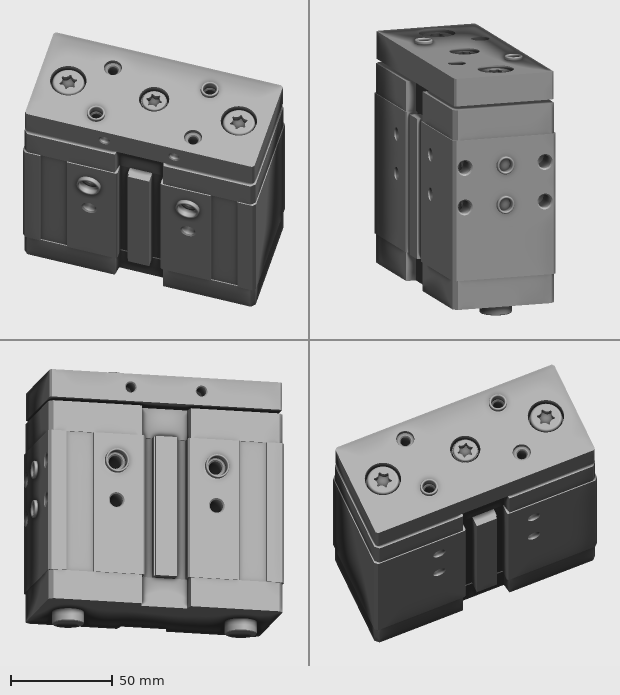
import cadquery as cq
import math

profile_width = 120.0
profile_depth = 54.0
end_step = 0.5
profile_corner_chamfer = 1.5
cap_corner_chamfer = 2.0
yoke_corner_chamfer = 1.0

rod_overhang = 6.1
lower_cap_height = 14.7
profile_height = 71.0
upper_cap_height = 15.2
yoke_gap = 2.0
yoke_height = 14.0

lower_cap_z = rod_overhang
profile_z = lower_cap_z + lower_cap_height
upper_cap_z = profile_z + profile_height
yoke_z = upper_cap_z + upper_cap_height + yoke_gap
yoke_top = yoke_z + yoke_height

cap_width = profile_width - 2 * end_step
cap_depth = profile_depth - 2 * end_step
yoke_width = cap_width - 2 * end_step
yoke_depth = cap_depth - 2 * end_step
front_y = -profile_depth / 2
left_x = -profile_width / 2

profile_groove_half_width = 11.7
profile_groove_chamfer = 0.6
cap_groove_half_width = 12.5
cap_groove_lean = 0.9
profile_groove_depth = 6.0
cap_groove_depth = 5.0
ridge_left = -5.5
ridge_right = 5.4
ridge_step_width = 0.6
ridge_step_depth = 1.5

slot_width = 14.1
slot_depth = 1.0
slot_lean = 0.4

rod_spacing = 87.9
rod_y = -0.7
rod_diameter = 16.0
rod_end_chamfer = 0.4
piston_y = 0.2
piston_rod_diameter = 12.0
screw_recess_depth = 8.0
screw_head_drop = 1.0
torx_depth = 3.0
torx_tip_half_angle = 5.0
torx_valley_ratio = 0.72
knurl_teeth = 36
knurl_stand_out = 0.4
knurl_tooth_depth = 0.2

small_thread = 6.0
small_core = 4.9
large_thread = 8.0
large_core = 6.6
drill_tip_angle = 118.0
small_hole_depth = 10.0
large_hole_depth = 12.0

small_sleeve_outer = 9.0
small_sleeve_inner = 6.6
small_sleeve_height = 1.7
small_sleeve_seat = 2.1
large_sleeve_outer = 12.0
large_sleeve_inner = 10.0
large_sleeve_height = 2.2
large_sleeve_seat = 2.2

yoke_hole_x = 25.0
yoke_hole_y = 14.9
yoke_hole_centre_y = -1.9
yoke_front_hole_x = 18.0
front_hole_x = 25.5
side_hole_y = 21.0
row_drop = 14.0
row_spacing = 20.0
upper_row_z = upper_cap_z - row_drop
lower_row_z = upper_row_z - row_spacing
hole_rows = (upper_row_z, lower_row_z)

channel_diameter = 4.9
channel_x = left_x + large_hole_depth

screw_sites = (
    (-rod_spacing / 2, rod_y, 18.0, 16.0, 13.5, 8.9, 90.0, False),
    (rod_spacing / 2, rod_y, 18.0, 16.0, 13.5, 8.9, 90.0, False),
    (0.0, piston_y, 15.0, 13.0, 10.5, 8.0, 0.0, True),
)
sleeve_sites = ((-1, -1), (1, 1))
plain_sites = ((-1, 1), (1, -1))


def block(width, depth, height, z, chamfer):
    return (
        cq.Workplane("XY", origin=(0, 0, z))
        .rect(width, depth)
        .extrude(height)
        .edges("|Z")
        .chamfer(chamfer)
    )


def upright_prism(points, height, z):
    return cq.Workplane("XY", origin=(0, 0, z)).polyline(points).close().extrude(height)


def rod(diameter, start, direction, length):
    return cq.Workplane(cq.Solid.makeCylinder(diameter / 2, length, cq.Vector(*start), cq.Vector(*direction)))


def cone(large, small, start, direction, length):
    return cq.Workplane(
        cq.Solid.makeCone(large / 2, small / 2, length, cq.Vector(*start), cq.Vector(*direction))
    )


def threaded_mouth(core, thread, start, direction):
    """45-degree countersink from the thread diameter to the core diameter."""
    return cone(thread, core, start, direction, (thread - core) / 2)


def blind_hole(core, thread, start, direction, depth):
    tip = [s + depth * d for s, d in zip(start, direction)]
    tip_length = core / 2 / math.tan(math.radians(drill_tip_angle / 2))
    drilled = rod(core, start, direction, depth).union(cone(core, 0, tip, direction, tip_length))
    return drilled.union(threaded_mouth(core, thread, start, direction))


def groove(face_y, half_width, lean, depth, height, z, x=0.0):
    """Trapezoidal groove running along Z, cut into the front or back face."""
    floor_y = face_y - math.copysign(depth, face_y)
    outline = [
        (x - half_width, face_y),
        (x + half_width, face_y),
        (x + half_width - lean, floor_y),
        (x - half_width + lean, floor_y),
    ]
    return upright_prism(outline, height, z)


def profile_groove(face_y):
    wall_half_width = profile_groove_half_width - profile_groove_chamfer
    straight = groove(face_y, wall_half_width, 0, profile_groove_depth, profile_height, profile_z)
    mouth = groove(
        face_y, profile_groove_half_width, profile_groove_chamfer, profile_groove_chamfer,
        profile_height, profile_z,
    )
    return straight.union(mouth)


def ridge(face_y):
    floor_y = face_y - math.copysign(profile_groove_depth, face_y)
    step_y = face_y - math.copysign(ridge_step_depth, face_y)
    outline = [
        (ridge_left, face_y),
        (ridge_right, face_y),
        (ridge_right, floor_y),
        (ridge_left - ridge_step_width, floor_y),
        (ridge_left - ridge_step_width, step_y),
        (ridge_left, step_y),
    ]
    return upright_prism(outline, profile_height, profile_z)


def make_profile():
    body = block(profile_width, profile_depth, profile_height, profile_z, profile_corner_chamfer)
    for face_y in (front_y, -front_y):
        body = body.cut(profile_groove(face_y)).union(ridge(face_y))
    for side in (-1, 1):
        x = side * rod_spacing / 2
        body = body.cut(
            groove(front_y, slot_width / 2, slot_lean, slot_depth, profile_height, profile_z, x)
        )
        body = body.cut(rod(rod_diameter, (x, rod_y, profile_z), (0, 0, 1), profile_height))
        body = cut_front_holes(body, side * front_hole_x)
    body = body.cut(rod(channel_diameter, (channel_x, side_hole_y, profile_z), (0, 0, 1), profile_height))
    return cut_side_holes(body)


def cut_front_holes(body, x):
    into = (0, 1, 0)
    for z in hole_rows:
        body = body.cut(rod(large_core, (x, front_y, z), into, profile_depth))
    body = body.cut(rod(large_sleeve_outer, (x, front_y, upper_row_z), into, large_sleeve_seat))
    seat_y = front_y + large_sleeve_seat
    body = body.cut(threaded_mouth(large_core, large_thread, (x, seat_y, upper_row_z), into))
    return body.cut(threaded_mouth(large_core, large_thread, (x, front_y, lower_row_z), into))


def cut_side_holes(body):
    into = (1, 0, 0)
    for z in hole_rows:
        for y in (-side_hole_y, side_hole_y):
            body = body.cut(blind_hole(large_core, large_thread, (left_x, y, z), into, large_hole_depth))
        body = body.cut(rod(small_sleeve_outer, (left_x, 0, z), into, small_sleeve_seat))
    return body


def make_cap(z, height):
    cap = block(cap_width, cap_depth, height, z, cap_corner_chamfer)
    for face_y in (-cap_depth / 2, cap_depth / 2):
        cap = cap.cut(groove(face_y, cap_groove_half_width, cap_groove_lean, cap_groove_depth, height, z))
    for side in (-1, 1):
        cap = cap.cut(rod(rod_diameter, (side * rod_spacing / 2, rod_y, z), (0, 0, 1), height))
    return cap


def make_upper_cap():
    cap = make_cap(upper_cap_z, upper_cap_height)
    return cap.cut(rod(piston_rod_diameter, (0, piston_y, upper_cap_z), (0, 0, 1), upper_cap_height))


def polar(x, y, radius, degrees):
    angle = math.radians(degrees)
    return (x + radius * math.cos(angle), y + radius * math.sin(angle))


def torx_socket(x, y, z, tip_diameter, tip_angle):
    """Six-lobed socket: blunt tips joined by arcs that bow towards the middle."""
    tip_radius = tip_diameter / 2
    valley_radius = torx_valley_ratio * tip_radius
    start = tip_angle + torx_tip_half_angle
    outline = cq.Workplane("XY", origin=(0, 0, z - torx_depth)).moveTo(*polar(x, y, tip_radius, start))
    for lobe in range(6):
        angle = tip_angle + 60 * lobe
        valley = polar(x, y, valley_radius, angle + 30)
        next_tip = polar(x, y, tip_radius, angle + 60 - torx_tip_half_angle)
        outline = outline.threePointArc(valley, next_tip)
        outline = outline.lineTo(*polar(x, y, tip_radius, angle + 60 + torx_tip_half_angle))
    return outline.close().extrude(torx_depth)


def knurl_ring(x, y, z, tip_diameter, bore, height):
    """Ring of teeth whose tips lie on the given diameter."""
    tip_radius = tip_diameter / 2
    root_radius = tip_radius - knurl_tooth_depth
    points = []
    for tooth in range(knurl_teeth):
        angle = 360 * tooth / knurl_teeth
        points.append(polar(x, y, tip_radius, angle))
        points.append(polar(x, y, root_radius, angle + 180 / knurl_teeth))
    return upright_prism(points, height, z).cut(rod(bore, (x, y, z), (0, 0, 1), height))


def screw_head(x, y, head, head_top, tip_diameter, tip_angle, knurled):
    """Round-edged head; a knurled one carries its teeth below the rounded edge."""
    top = yoke_top - screw_head_drop
    bottom = yoke_top - screw_recess_depth
    core = head - 2 * knurl_stand_out if knurled else head
    edge_round = (core - head_top) / 2
    body = rod(core, (x, y, bottom), (0, 0, 1), top - bottom)
    body = body.faces(">Z").edges().fillet(edge_round)
    body = body.cut(torx_socket(x, y, top, tip_diameter, tip_angle))
    if knurled:
        body = body.union(knurl_ring(x, y, bottom, head, head_top, top - edge_round - bottom))
    return body


def cut_yoke_holes(yoke):
    down = (0, 0, -1)
    for sx, sy in sleeve_sites + plain_sites:
        x = sx * yoke_hole_x
        y = yoke_hole_centre_y + sy * yoke_hole_y
        seat_z = yoke_top - small_sleeve_seat
        yoke = yoke.cut(rod(small_sleeve_outer, (x, y, yoke_top), down, small_sleeve_seat))
        yoke = yoke.cut(threaded_mouth(small_core, small_thread, (x, y, seat_z), down))
        yoke = yoke.cut(rod(small_core, (x, y, seat_z), down, yoke_height))
    middle_z = yoke_z + yoke_height / 2
    for side in (-1, 1):
        start = (side * yoke_front_hole_x, -yoke_depth / 2, middle_z)
        yoke = yoke.cut(blind_hole(small_core, small_thread, start, (0, 1, 0), small_hole_depth))
    return yoke


def make_moving_unit():
    unit = cut_yoke_holes(block(yoke_width, yoke_depth, yoke_height, yoke_z, yoke_corner_chamfer))
    for x, y, recess, head, head_top, tip_diameter, tip_angle, knurled in screw_sites:
        unit = unit.cut(rod(recess, (x, y, yoke_top), (0, 0, -1), screw_recess_depth))
        unit = unit.union(screw_head(x, y, head, head_top, tip_diameter, tip_angle, knurled))
    for side in (-1, 1):
        guide = rod(rod_diameter, (side * rod_spacing / 2, rod_y, 0), (0, 0, 1), yoke_z)
        unit = unit.union(guide.faces("<Z").chamfer(rod_end_chamfer))
    piston_length = yoke_z - upper_cap_z
    return unit.union(rod(piston_rod_diameter, (0, piston_y, upper_cap_z), (0, 0, 1), piston_length))


def make_sleeve(outer, inner, seat, height, face_point, outward):
    """Ring seated in a face, its free end fully rounded between bore and outer wall."""
    outer_radius = outer / 2
    inner_radius = inner / 2
    round_radius = (outer_radius - inner_radius) / 2
    shoulder = height - round_radius
    plane = cq.Plane(origin=face_point, normal=outward)
    section = (
        cq.Workplane("XZ")
        .moveTo(inner_radius, -seat)
        .lineTo(outer_radius, -seat)
        .lineTo(outer_radius, shoulder)
        .threePointArc((inner_radius + round_radius, height), (inner_radius, shoulder))
        .close()
    )
    ring = section.revolve(360, (0, 0, 0), (0, 1, 0))
    return cq.Workplane(ring.val().moved(plane.location))


def make_small_sleeve(face_point, outward):
    return make_sleeve(
        small_sleeve_outer, small_sleeve_inner, small_sleeve_seat, small_sleeve_height, face_point, outward
    )


def make_large_sleeve(face_point, outward):
    return make_sleeve(
        large_sleeve_outer, large_sleeve_inner, large_sleeve_seat, large_sleeve_height, face_point, outward
    )


profile = make_profile()
lower_cap = make_cap(lower_cap_z, lower_cap_height)
upper_cap = make_upper_cap()
moving_unit = make_moving_unit()
sleeves = []
for sx, sy in sleeve_sites:
    y = yoke_hole_centre_y + sy * yoke_hole_y
    sleeves.append(make_small_sleeve((sx * yoke_hole_x, y, yoke_top), (0, 0, 1)))
for z in hole_rows:
    sleeves.append(make_small_sleeve((left_x, 0, z), (-1, 0, 0)))
for side in (-1, 1):
    sleeves.append(make_large_sleeve((side * front_hole_x, front_y, upper_row_z), (0, -1, 0)))

result = cq.Compound.makeCompound(
    [profile.val(), lower_cap.val(), upper_cap.val(), moving_unit.val()] + [s.val() for s in sleeves]
)